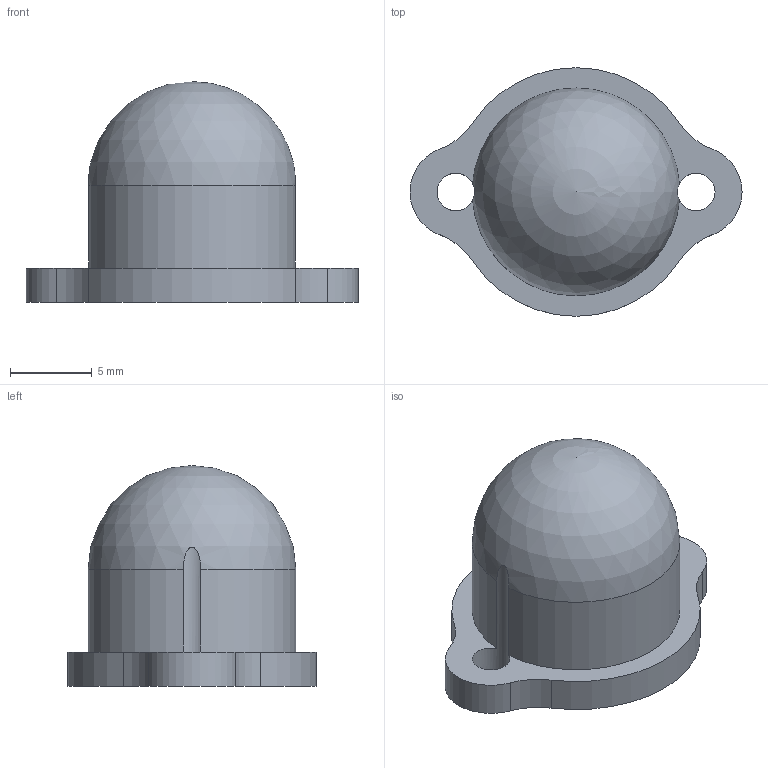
import cadquery as cq
import math

flange_radius = 7.6
flange_thickness = 2.1
overall_length = 20.3
overall_height = 13.5
dome_radius = 6.35
ear_radius = 2.8
blend_radius = 4.0
hole_diameter = 2.3

hole_offset = overall_length / 2 - ear_radius
dome_spring_height = overall_height - dome_radius


def blend_tangent_points():
    """Flange end, middle and ear end of the concave blend in the +X +Y quadrant."""
    flange_reach = flange_radius + blend_radius
    ear_reach = ear_radius + blend_radius
    center_x = (flange_reach**2 - ear_reach**2 + hole_offset**2) / (2 * hole_offset)
    center_y = math.sqrt(flange_reach**2 - center_x**2)

    flange_point = (center_x * flange_radius / flange_reach, center_y * flange_radius / flange_reach)
    ear_fraction = ear_radius / ear_reach
    ear_point = (hole_offset + (center_x - hole_offset) * ear_fraction, center_y * ear_fraction)

    chord_x = (flange_point[0] + ear_point[0]) / 2 - center_x
    chord_y = (flange_point[1] + ear_point[1]) / 2 - center_y
    stretch = blend_radius / math.hypot(chord_x, chord_y)
    middle_point = (center_x + chord_x * stretch, center_y + chord_y * stretch)
    return flange_point, middle_point, ear_point


def make_flange():
    """Round flange with two ears, joined by concave tangent blends."""
    flange_point, middle_point, ear_point = blend_tangent_points()

    def mirrored(point, x_sign, y_sign):
        return (point[0] * x_sign, point[1] * y_sign)

    ear_tip = overall_length / 2
    outline = cq.Workplane("XY").moveTo(*mirrored(flange_point, -1, 1))
    for side in (1, -1):
        outline = (
            outline
            .threePointArc((0, side * flange_radius), mirrored(flange_point, side, side))
            .threePointArc(mirrored(middle_point, side, side), mirrored(ear_point, side, side))
            .threePointArc((side * ear_tip, 0), mirrored(ear_point, side, -side))
            .threePointArc(mirrored(middle_point, side, -side), mirrored(flange_point, side, -side))
        )
    return outline.close().extrude(flange_thickness)


def make_domed_body():
    """Cylinder capped by a hemisphere of the same radius, revolved about Z."""
    dome_midpoint_offset = dome_radius * math.sqrt(0.5)
    return (
        cq.Workplane("XZ")
        .lineTo(dome_radius, 0)
        .lineTo(dome_radius, dome_spring_height)
        .threePointArc((dome_midpoint_offset, dome_spring_height + dome_midpoint_offset), (0, overall_height))
        .close()
        .revolve(360, (0, 0), (0, 1))
    )


def make_mounting_holes():
    """Vertical ear holes; they run the full height and so groove the sides of the body."""
    return (
        cq.Workplane("XY")
        .pushPoints([(-hole_offset, 0), (hole_offset, 0)])
        .circle(hole_diameter / 2)
        .extrude(overall_height)
    )


result = make_flange().union(make_domed_body()).cut(make_mounting_holes())